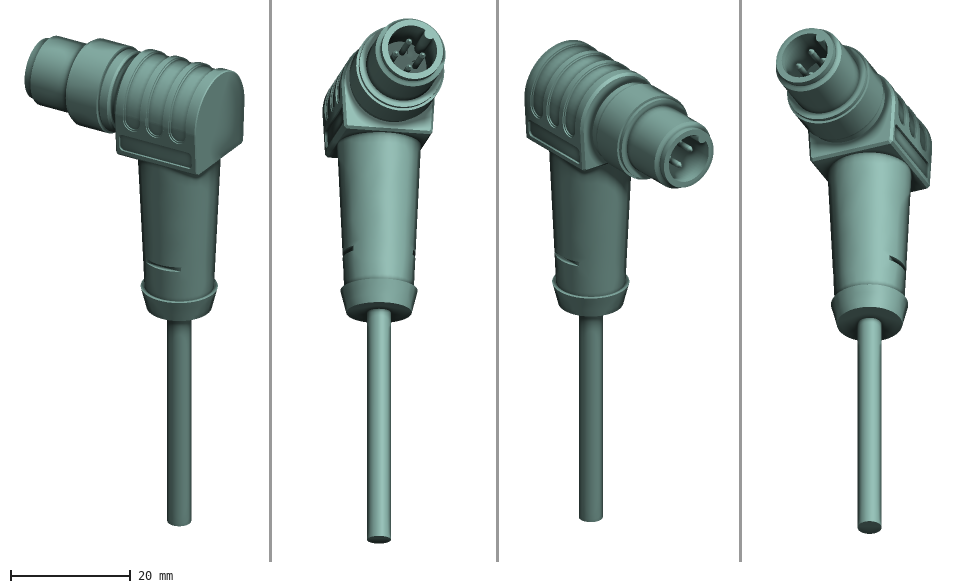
import cadquery as cq
import math

total_height = 85.5
total_length = 35.0

head_size = 16.0
head_half = head_size / 2
head_bottom_width = 15.0
head_split = -0.25
head_front_chamfer = 0.4
head_back_chamfer = 0.2
head_bottom_chamfer = 0.4

groove_count = 3
groove_pitch = 4.45
groove_width = 3.4
groove_depth = 0.4
groove_rim = 0.25
groove_end = -2.6

label_length = 14.2
label_top = -3.8
label_bottom = -6.8
label_corner = 0.8
label_depth = 0.4

sleeve_top_diameter = 14.0
sleeve_bottom_diameter = 11.6
collar_top = -33.6
collar_bottom = -37.4
collar_top_diameter = 12.9
collar_bottom_diameter = 10.9
cable_diameter = 4.0
cable_bottom = head_half - total_height

notch_z = -27.5
notch_height = 0.85
notch_floor = 5.0

plug_tip = head_half - total_length
tip_diameter = 10.4
nose_diameter = 12.0
nut_diameter = 15.0
ring_diameter = 14.2
shoulder_diameter = 12.5
neck_diameter = 9.6
tip_length = 1.2
nose_cone_length = 0.4
nut_start = -17.9
nut_end = -11.6
nut_step = 0.7
ring_groove_width = 0.3
ring_groove_diameter = 13.7
ring_end = -9.5
ring_chamfer = 0.3
shoulder_end = -8.9

bore_diameter = 8.4
bore_depth = 8.55
key_diameter = 1.9
pin_diameter = 1.0
pin_circle_radius = 2.265
pin_setback = 2.1
pin_point_length = 0.6
pin_point_diameter = 0.3
pin_well_diameter = 1.8
pin_count = 4

insulator_diameter = 7.2
insulator_height = 0.4
insulator_flare_angle = 110


def arched_block(inset):
    """Block along X with a round top and tapering sides, inset from the head surface."""
    radius = head_half - inset
    bottom_half = head_bottom_width / 2 - inset
    return (
        cq.Workplane("YZ")
        .moveTo(-bottom_half, -head_half)
        .lineTo(-radius, head_split)
        .lineTo(-radius, 0)
        .threePointArc((0, radius), (radius, 0))
        .lineTo(radius, head_split)
        .lineTo(bottom_half, -head_half)
        .close()
        .extrude(head_half, both=True)
    )


def x_cylinder(start, end, diameter, y=0, z=0):
    """Cylinder parallel to X."""
    return (
        cq.Workplane("YZ", origin=(start, y, z))
        .circle(diameter / 2)
        .extrude(end - start)
    )


def groove_cutter(x, width, end):
    """Slot through Y with a round lower end, open at the top of the head."""
    radius = width / 2
    return (
        cq.Workplane("XZ")
        .moveTo(x - radius, head_size)
        .lineTo(x - radius, end + radius)
        .threePointArc((x, end), (x + radius, end + radius))
        .lineTo(x + radius, head_size)
        .close()
        .extrude(head_size, both=True)
    )


def make_head():
    head = arched_block(0)
    head = head.faces("<Z").edges("|X").chamfer(head_bottom_chamfer)
    head = head.faces("<X").edges().chamfer(head_front_chamfer)
    head = head.faces(">X").edges().chamfer(head_back_chamfer)

    rim_floor = arched_block(groove_depth / 2)
    groove_floor = arched_block(groove_depth)
    floor_width = groove_width - 2 * groove_rim
    for index in range(groove_count):
        x = (index - (groove_count - 1) / 2) * groove_pitch
        rim = groove_cutter(x, groove_width, groove_end)
        channel = groove_cutter(x, floor_width, groove_end + groove_rim)
        head = head.cut(rim.cut(rim_floor)).cut(channel.cut(groove_floor))

    label = (
        cq.Workplane("XZ", origin=(0, 0, (label_top + label_bottom) / 2))
        .rect(label_length, label_top - label_bottom)
        .extrude(head_size, both=True)
        .edges("|Y")
        .fillet(label_corner)
    )
    return head.cut(label.cut(arched_block(label_depth)))


def make_cable_side():
    relief = (
        cq.Workplane("XZ")
        .lineTo(sleeve_top_diameter / 2, 0)
        .lineTo(sleeve_top_diameter / 2, -head_half)
        .lineTo(sleeve_bottom_diameter / 2, collar_top)
        .lineTo(collar_top_diameter / 2, collar_top)
        .lineTo(collar_bottom_diameter / 2, collar_bottom)
        .lineTo(cable_diameter / 2, collar_bottom)
        .lineTo(cable_diameter / 2, cable_bottom)
        .lineTo(0, cable_bottom)
        .close()
        .revolve(360, (0, 0), (0, 1))
    )
    for side in (-1, 1):
        notch = cq.Workplane("XY").box(head_size, head_half, notch_height)
        relief = relief.cut(notch.translate((0, side * (notch_floor + head_half / 2), notch_z)))
    return relief


def make_plug():
    nose_start = plug_tip + tip_length
    ring_start = nut_end + ring_groove_width
    ring_chamfer_diameter = ring_diameter - 2 * ring_chamfer
    stations = [
        (plug_tip, tip_diameter),
        (nose_start, tip_diameter),
        (nose_start + nose_cone_length, nose_diameter),
        (nut_start, nose_diameter),
        (nut_start, ring_diameter),
        (nut_start + nut_step, ring_diameter),
        (nut_start + nut_step, nut_diameter),
        (nut_end, nut_diameter),
        (nut_end, ring_groove_diameter),
        (ring_start, ring_groove_diameter),
        (ring_start, ring_diameter),
        (ring_end - ring_chamfer, ring_diameter),
        (ring_end, ring_chamfer_diameter),
        (ring_end, shoulder_diameter),
        (shoulder_end, shoulder_diameter),
        (shoulder_end, neck_diameter),
        (0, neck_diameter),
    ]
    outline = [(x, diameter / 2) for x, diameter in stations]
    plug = (
        cq.Workplane("XZ")
        .polyline([(plug_tip, 0)] + outline + [(0, 0)])
        .close()
        .revolve(360, (0, 0), (1, 0))
    )

    bore_floor = plug_tip + bore_depth
    bore = x_cylinder(plug_tip, bore_floor, bore_diameter)
    key_offset = bore_diameter / 2 * math.sqrt(0.5)
    key = x_cylinder(plug_tip, bore_floor, key_diameter, -key_offset, key_offset)
    plug = plug.cut(bore.cut(key)).union(make_insulator(bore_floor))

    pin = make_pin(bore_floor)
    for index in range(pin_count):
        plug = plug.union(pin.rotate((0, 0, 0), (1, 0, 0), index * 360 / pin_count))
    return plug


def make_insulator(bore_floor):
    """Disc with a round well at each pin, flaring outward to the rim."""
    top = bore_floor - insulator_height
    disc = x_cylinder(top, bore_floor, insulator_diameter)
    well = x_cylinder(top, bore_floor, pin_well_diameter, pin_circle_radius)
    flare_length = insulator_diameter / 2
    flare_half_width = flare_length * math.tan(math.radians(insulator_flare_angle / 2))
    flare = (
        cq.Workplane("YZ", origin=(top, pin_circle_radius, 0))
        .lineTo(flare_length, flare_half_width)
        .lineTo(flare_length, -flare_half_width)
        .close()
        .extrude(insulator_height)
    )
    opening = well.union(flare)
    for index in range(pin_count):
        disc = disc.cut(opening.rotate((0, 0, 0), (1, 0, 0), index * 360 / pin_count))
    return disc


def make_pin(pin_end):
    """Pin beside the plug axis with a tapered point facing the plug mouth."""
    pin_start = plug_tip + pin_setback
    profile = [
        (pin_start, 0),
        (pin_start, pin_point_diameter / 2),
        (pin_start + pin_point_length, pin_diameter / 2),
        (pin_end, pin_diameter / 2),
        (pin_end, 0),
    ]
    pin = cq.Workplane("XZ").polyline(profile).close().revolve(360, (0, 0), (1, 0))
    return pin.translate((0, pin_circle_radius, 0))


result = make_head().union(make_cable_side()).union(make_plug())